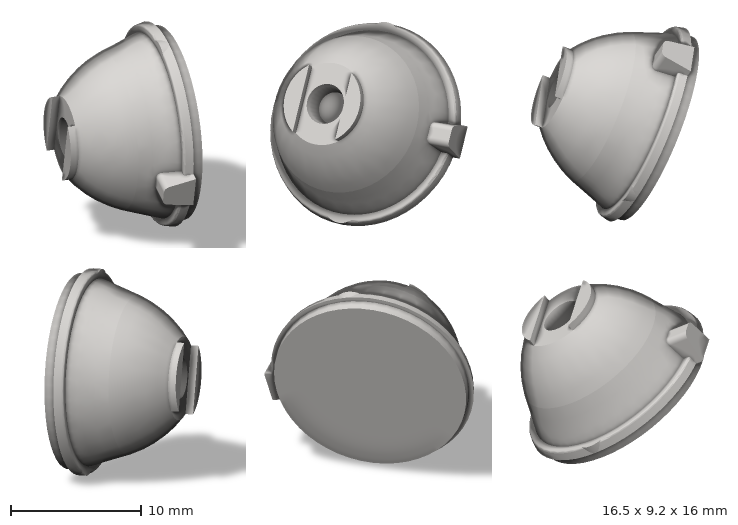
import cadquery as cq
import math


overall_depth = 9.2
flange_start = 0.85
flange_end = 1.6
cone_end = 4.72
bowl_end = 8.6

face_radius = 7.55
rim_radius = 7.6
flange_diameter = 15.95
flange_radius = flange_diameter / 2
flange_end_radius = 7.8
flange_round = 0.18
cone_start_radius = 7.25
cone_end_radius = 6.15
bowl_middle_radius = 4.95
bowl_middle_depth = 6.86
end_radius = 3.23

slot_width = 3.7
bore_mouth_radius = 1.57
bore_floor_radius = 1.24
bore_depth = 1.57

turn_angle = 15.0
tab_inner = 4.95
tab_outer = 8.48
tab_end = 3.4
tab_base_width = 2.57
tab_tip_width = 1.58
tab_round = 0.5
bump_radius = 1.58


def turned(shape):
    """Turn a shape about the lens axis, moving +Z toward +X."""
    return shape.rotate((0, 0, 0), (0, 1, 0), turn_angle)


def make_body():
    """Solid of revolution: rim, drafted flange, cone, curved bowl and end boss."""
    body = (
        cq.Workplane("XY")
        .lineTo(face_radius, 0)
        .lineTo(rim_radius, -flange_start)
        .lineTo(flange_radius, -flange_start)
        .lineTo(flange_end_radius, -flange_end)
        .lineTo(cone_start_radius, -flange_end)
        .lineTo(cone_end_radius, -cone_end)
        .threePointArc((bowl_middle_radius, -bowl_middle_depth), (end_radius, -bowl_end))
        .lineTo(end_radius, -overall_depth)
        .lineTo(0, -overall_depth)
        .close()
        .revolve(360, (0, 0, 0), (0, 1, 0))
    )
    margin = 0.02
    corner_zone = cq.selectors.BoxSelector(
        (-flange_radius, -flange_end - margin, -flange_radius),
        (flange_radius, -flange_end + margin, flange_radius),
    )
    flange_corner = body.edges(corner_zone).edges(cq.selectors.RadiusNthSelector(-1))
    return flange_corner.fillet(flange_round)


def make_tab():
    """Radial tab on the +X side, narrowing toward its rounded tip."""
    tab = (
        cq.Workplane("YZ", origin=(tab_inner, 0, 0))
        .moveTo(-flange_start, -tab_base_width / 2)
        .lineTo(-flange_start, tab_base_width / 2)
        .lineTo(-tab_end, tab_tip_width / 2)
        .lineTo(-tab_end, -tab_tip_width / 2)
        .close()
        .extrude(tab_outer - tab_inner)
        .faces("<Y")
        .edges("|X")
        .fillet(tab_round)
    )
    return turned(tab)


def make_bump(angle):
    """Cylinder parallel to the axis, touching the flange's outer circle from inside."""
    axis_radius = flange_radius - bump_radius
    axis_x = axis_radius * math.sin(math.radians(angle))
    axis_z = axis_radius * math.cos(math.radians(angle))
    return (
        cq.Workplane("XZ", origin=(axis_x, -flange_start, axis_z))
        .circle(bump_radius)
        .extrude(flange_end - flange_start)
    )


def make_slot():
    """Straight slot that splits the end boss down to the end of the bowl."""
    slot = cq.Workplane("XY").box(
        slot_width, overall_depth - bowl_end, flange_diameter, centered=(True, False, True)
    )
    return turned(slot.translate((0, -overall_depth, 0)))


def make_bore():
    """Blind bore that narrows from the slot floor inward."""
    return (
        cq.Workplane("XY")
        .moveTo(0, -bowl_end)
        .lineTo(bore_mouth_radius, -bowl_end)
        .lineTo(bore_floor_radius, bore_depth - bowl_end)
        .lineTo(0, bore_depth - bowl_end)
        .close()
        .revolve(360, (0, 0, 0), (0, 1, 0))
    )


result = make_body().union(make_tab())
for bump_angle in (turn_angle, turn_angle + 180):
    result = result.union(make_bump(bump_angle))
result = result.cut(make_slot()).cut(make_bore()).clean()